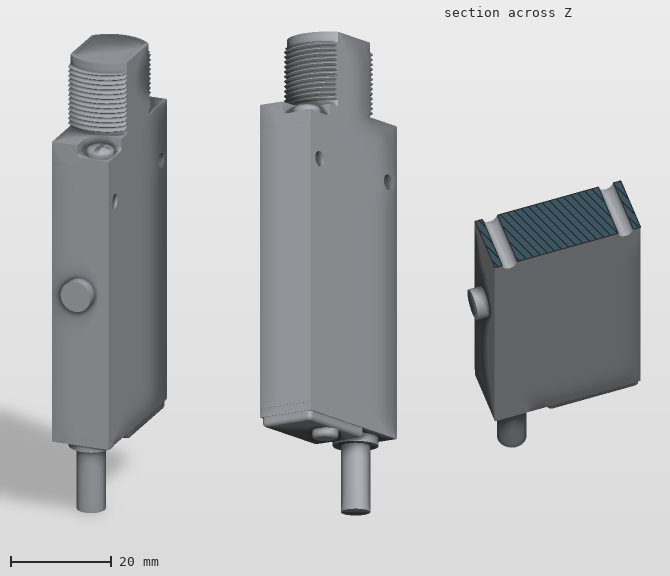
import cadquery as cq
import math

case_thickness = 12.19
case_width = 30.73
cap_width = 30.6
total_height = 94.41
tower_height = 15.24
cable_length = 15.24
head_block_height = 5.08
base_height = 1.75

shoulder_z = total_height - cable_length - tower_height
head_bottom = shoulder_z - head_block_height
tower_top = shoulder_z + tower_height

mount_hole_diameter = 3.1
mount_hole_offset = 12.2
mount_hole_below_head = 6.95
button_diameter = 6.35
button_length = 2.54
button_below_head = 26.2

neck_radius = 8.33
neck_height = 2.0
thread_crest_radius = 9.15
thread_pitch = 1.0
thread_root_width = 0.9
thread_crest_width = 0.12
thread_embed = 0.15
thread_start = 1.05
thread_turns = 13
thread_arc = 110
window_inset = 0.76
window_depth = 0.12

screw_x = -3.05
screw_y = 12.2
pocket_radius = 3.72
pocket_depth = 2.55
pocket_fillet = 0.85
screw_radius = 2.75
screw_rim_height = 0.8
screw_dome_height = 1.2
cross_slot_depth = 0.7
cross_slot_width = 1.1

plate_y_min = -4.0
plate_y_max = 15.2
plate_thickness_x = 11.75
plate_depth = 1.9
plate_corner_radius = 0.9
plate_fillet = 0.75
boss_x = -3.05
boss_y = 5.68
boss_radius = 2.6
boss_depth = 1.77
boss_fillet = 0.75
cable_y = -9.65
cable_diameter = 5.9
flange_diameter = 9.1
flange_depth = 1.75

def case_block(width, bottom, top):
    """A slice of the rectangular case between two heights."""
    return cq.Workplane("XY", origin=(0, 0, bottom)).rect(case_thickness, width).extrude(top - bottom)

def disc(radius, bottom, height, x=0, y=0):
    """An upright cylinder."""
    return cq.Workplane("XY", origin=(x, y, bottom)).circle(radius).extrude(height)

def flatted_disc(radius, half_width, bottom, height):
    """A cylinder cut by two flats facing -X and +X."""
    half_flat = math.sqrt(radius**2 - half_width**2)
    return (
        cq.Workplane("XY", origin=(0, 0, bottom))
        .moveTo(half_width, -half_flat)
        .lineTo(half_width, half_flat)
        .threePointArc((0, radius), (-half_width, half_flat))
        .lineTo(-half_width, -half_flat)
        .threePointArc((0, -radius), (half_width, -half_flat))
        .close()
        .extrude(height)
    )

def thread_ridge():
    """One stretch of the helical ridge across the -Y side of the tower, centred on Z = 0 at X = 0."""
    path_radius = neck_radius - thread_embed
    rise = thread_pitch * thread_arc / 360
    helix = cq.Wire.makeHelix(thread_pitch, rise, path_radius)
    ridge = (
        cq.Workplane("XZ")
        .moveTo(path_radius, -thread_root_width / 2)
        .lineTo(neck_radius, -thread_root_width / 2)
        .lineTo(thread_crest_radius, -thread_crest_width / 2)
        .lineTo(thread_crest_radius, thread_crest_width / 2)
        .lineTo(neck_radius, thread_root_width / 2)
        .lineTo(path_radius, thread_root_width / 2)
        .close()
        .sweep(cq.Workplane(helix), isFrenet=True)
    )
    start_angle = -90 - thread_arc / 2
    return ridge.rotate((0, 0, 0), (0, 0, 1), start_angle).translate((0, 0, -rise / 2))

def make_tower():
    """The flatted, threaded tower with a shallow recessed window on top."""
    half_thickness = case_thickness / 2
    thread_length = tower_height - neck_height
    tower = flatted_disc(neck_radius, half_thickness, shoulder_z, tower_height)
    envelope = flatted_disc(thread_crest_radius + thread_embed, half_thickness, shoulder_z, thread_length)
    front_ridge = thread_ridge()
    back_ridge = front_ridge.rotate((0, 0, 0), (0, 0, 1), 180).translate((0, 0, thread_pitch / 2))
    ridges = []
    for turn in range(thread_turns):
        turn_z = shoulder_z + thread_start + turn * thread_pitch
        for ridge in (front_ridge, back_ridge):
            ridges.append(ridge.translate((0, 0, turn_z)).intersect(envelope).val())
    window = flatted_disc(
        neck_radius - window_inset, half_thickness - window_inset, tower_top - window_depth, window_depth
    )
    return cq.Workplane(tower.val().fuse(*ridges)).cut(window)

def make_screw_pocket():
    """The corner pocket cutter at -X, +Y: open on both outer sides, filleted around its floor."""
    side = 3 * pocket_radius
    x_max = screw_x + pocket_radius
    y_min = screw_y - pocket_radius
    floor_z = shoulder_z - pocket_depth
    pocket = (
        cq.Workplane("XY", origin=(x_max - side / 2, y_min + side / 2, floor_z))
        .rect(side, side)
        .extrude(pocket_depth)
    )
    return pocket.edges("|Z and >X and <Y").fillet(pocket_radius).faces("<Z").edges().fillet(pocket_fillet)

def make_screw():
    """A screw head with an elliptical dome and a cross slot."""
    floor_z = shoulder_z - pocket_depth
    rim_z = floor_z + screw_rim_height
    top_z = rim_z + screw_dome_height
    head = (
        cq.Workplane("XZ", origin=(screw_x, screw_y, rim_z))
        .moveTo(0, -screw_rim_height)
        .lineTo(screw_radius, -screw_rim_height)
        .lineTo(screw_radius, 0)
        .ellipseArc(screw_radius, screw_dome_height, 0, 90, startAtCurrent=True)
        .close()
        .revolve(360, (0, 0, 0), (0, 1, 0))
    )
    slot_length = 2 * screw_radius
    for size_x, size_y in ((slot_length, cross_slot_width), (cross_slot_width, slot_length)):
        slot = cq.Workplane("XY", origin=(screw_x, screw_y, top_z)).rect(size_x, size_y)
        head = head.cut(slot.extrude(-cross_slot_depth))
    return head

def make_head():
    """The top block with its tower and two screws, placed half a turn apart."""
    head = case_block(cap_width, head_bottom, shoulder_z)
    pocket = make_screw_pocket()
    screw = make_screw()
    for angle in (0, 180):
        head = head.cut(pocket.rotate((0, 0, 0), (0, 0, 1), angle))
        head = head.union(screw.rotate((0, 0, 0), (0, 0, 1), angle))
    return head.union(make_tower())

def make_body():
    """The main case with two through holes along X and a round button on its -Y side."""
    hole_z = head_bottom - mount_hole_below_head
    holes = (
        cq.Workplane("YZ", origin=(-case_thickness / 2, 0, hole_z))
        .pushPoints([(-mount_hole_offset, 0), (mount_hole_offset, 0)])
        .circle(mount_hole_diameter / 2)
        .extrude(case_thickness)
    )
    button = (
        cq.Workplane("XZ", origin=(0, -case_width / 2, head_bottom - button_below_head))
        .circle(button_diameter / 2)
        .extrude(button_length)
    )
    return case_block(case_width, base_height, head_bottom).cut(holes).union(button)

def make_base():
    """The bottom cap with its rounded plate and boss, and the flanged cable."""
    plate = (
        cq.Workplane("XY", origin=(0, (plate_y_min + plate_y_max) / 2, -plate_depth))
        .rect(plate_thickness_x, plate_y_max - plate_y_min)
        .extrude(plate_depth)
        .edges("|Z")
        .fillet(plate_corner_radius)
        .faces("<Z")
        .edges()
        .fillet(plate_fillet)
    )
    boss = disc(boss_radius, -plate_depth - boss_depth, boss_depth, boss_x, boss_y)
    boss = boss.faces("<Z").edges().fillet(boss_fillet)
    flange = disc(flange_diameter / 2, -flange_depth, flange_depth, 0, cable_y)
    cable = disc(cable_diameter / 2, -cable_length, cable_length, 0, cable_y)
    return case_block(cap_width, 0, base_height).union(plate).union(boss).union(flange).union(cable)

head = make_head()
body = make_body()
base = make_base()

result = cq.Compound.makeCompound([head.val(), body.val(), base.val()])